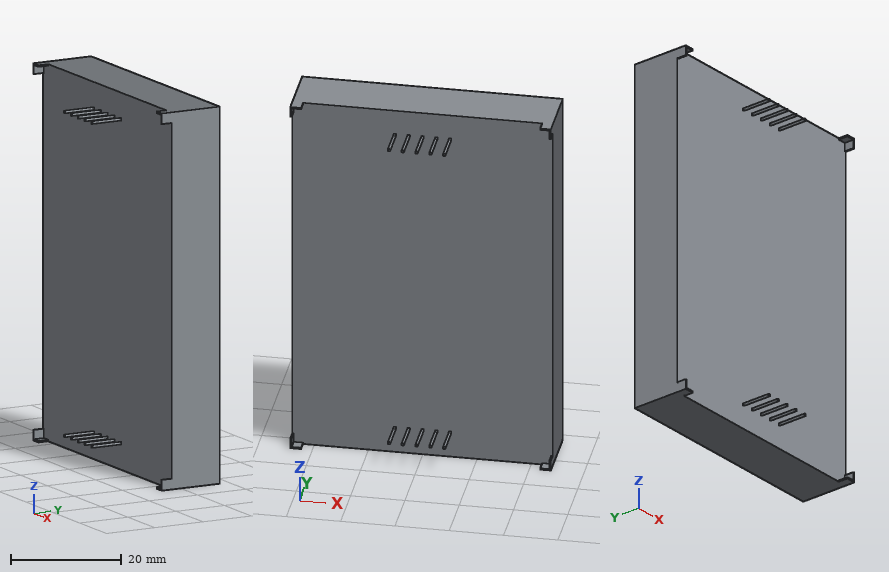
import cadquery as cq

case_width = 48.0
case_depth = 10.0
case_height = 70.0

foot_height = 2.0
foot_leg_length = 2.0
foot_thickness = 0.3

pins_per_row = 5
pin_pitch = 2.54
row_spacing = 60.1
pin_diameter = 0.5
pin_length = 6.0

back_y = -case_depth / 2


def make_case():
    """Block centred on the origin."""
    return cq.Workplane("XY").box(case_width, case_depth, case_height)


def make_foot(x_side, z_side):
    """L-shaped foot flush with the outer walls at one corner of the case."""
    corner_x = x_side * case_width / 2
    corner_z = z_side * case_height / 2
    end_x = corner_x - x_side * foot_leg_length
    end_z = corner_z - z_side * foot_leg_length
    inner_x = corner_x - x_side * foot_thickness
    inner_z = corner_z - z_side * foot_thickness
    return (
        cq.Workplane("XZ", origin=(0, back_y, 0))
        .moveTo(corner_x, corner_z)
        .lineTo(end_x, corner_z)
        .lineTo(end_x, inner_z)
        .lineTo(inner_x, inner_z)
        .lineTo(inner_x, end_z)
        .lineTo(corner_x, end_z)
        .close()
        .extrude(foot_height)
    )


def make_pins():
    """All the pins, as straight round rods rising from the back face."""
    return (
        cq.Workplane("XZ", origin=(0, back_y, 0))
        .rarray(pin_pitch, row_spacing, pins_per_row, 2)
        .circle(pin_diameter / 2)
        .extrude(pin_length)
    )


result = make_case()
for x_side in (-1, 1):
    for z_side in (-1, 1):
        result = result.union(make_foot(x_side, z_side))
result = result.union(make_pins())